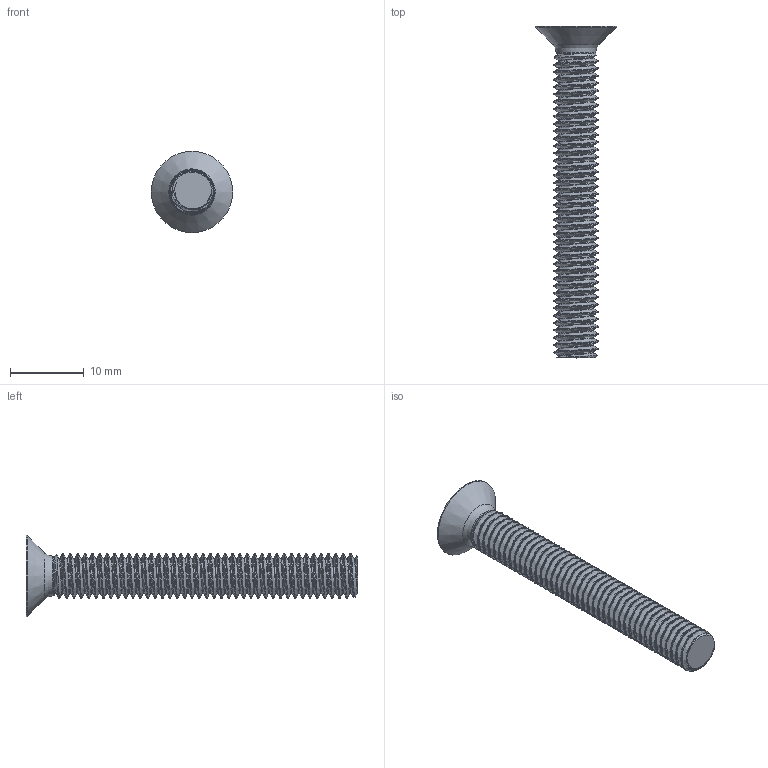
import cadquery as cq
import math


length = 45.0
head_diameter = 11.0
rim_height = 0.15
head_half_angle = 45.0
neck_radius = 2.7
neck_fillet_radius = 1.5
neck_end_depth = 3.75

major_diameter = 6.0
pitch = 1.0
flank_half_angle = 30.0
runout_length = 0.65
crest_fraction = 1 / 8
root_fraction = 1 / 8

tip_crest_direction = -90.0

flank_steps = 8

head_radius = head_diameter / 2
major_radius = major_diameter / 2
flank_width = pitch * (1 - crest_fraction - root_fraction) / 2
thread_depth = flank_width / math.tan(math.radians(flank_half_angle))
minor_radius = major_radius - thread_depth
neck_depth = rim_height + (head_radius - neck_radius) / math.tan(math.radians(head_half_angle))
runout_taper = math.degrees(math.atan((major_radius - neck_radius) / runout_length))
thread_length = length - neck_end_depth

tolerance = 1e-4


def make_head_and_neck():
    """Conical head blended into the plain neck above the thread."""
    outline = [
        (0, 0),
        (head_radius, 0),
        (head_radius, -rim_height),
        (neck_radius, -neck_depth),
        (neck_radius, -neck_end_depth),
        (0, -neck_end_depth),
    ]
    body = cq.Workplane("XZ").polyline(outline).close().revolve(360, (0, 0), (0, 1))
    corner_box = cq.selectors.BoxSelector(
        (-head_radius, -head_radius, -neck_depth - tolerance),
        (head_radius, head_radius, -neck_depth + tolerance),
    )
    return body.edges(corner_box).fillet(neck_fillet_radius)


def flank_point(fraction):
    """Point on one flank of the cross-section, from the crest (0) to the root (1)."""
    crest_end_angle = math.pi * crest_fraction
    root_start_angle = math.pi * (1 - root_fraction)
    angle = crest_end_angle + (root_start_angle - crest_end_angle) * fraction
    radius = major_radius - thread_depth * fraction
    return radius * math.cos(angle), radius * math.sin(angle)


def make_thread(height):
    """Right-handed thread rising from Z = 0, made by twisting its cam-shaped cross-section."""
    upper_flank = [flank_point(step / flank_steps) for step in range(flank_steps + 1)]
    lower_flank = [(x, -y) for x, y in reversed(upper_flank)]
    section = (
        cq.Workplane("XY")
        .moveTo(*upper_flank[0])
        .spline(upper_flank[1:], includeCurrent=True)
        .threePointArc((-minor_radius, 0), lower_flank[0])
        .spline(lower_flank[1:], includeCurrent=True)
        .threePointArc((major_radius, 0), upper_flank[0])
        .close()
    )
    thread = section.twistExtrude(height, 360 * height / pitch)
    return thread.rotate((0, 0, 0), (0, 0, 1), tip_crest_direction)


def make_runout():
    """One turn of thread whose crest tapers down to a flat end at Z = 0."""
    cone = cq.Workplane("XY").circle(neck_radius).extrude(pitch, taper=-runout_taper)
    return make_thread(pitch).intersect(cone)


def make_top():
    """Last turn of thread below the neck, joined to the head.

    It is the tip turn flipped over about X, which keeps the thread right-handed and turns
    a crest at the angle a to the angle -a.
    """
    flipped = make_runout().rotate((0, 0, 0), (1, 0, 0), 180)
    wanted_direction = tip_crest_direction + 360 * thread_length / pitch
    turned = flipped.rotate((0, 0, 0), (0, 0, 1), wanted_direction + tip_crest_direction)
    return turned.translate((0, 0, -neck_end_depth)).union(make_head_and_neck())


def make_tip():
    """First turn of thread, rising from the tip face."""
    return make_runout().translate((0, 0, -length))


def make_middle():
    """Whole turns of thread between the tip turn and the top turn, and the part turn left over."""
    middle_length = thread_length - 2 * pitch
    whole_turns = math.floor(middle_length / pitch)
    middle_start = -length + pitch
    whole_turn = make_thread(pitch)
    part_turn = make_thread(middle_length - whole_turns * pitch)
    turns = [whole_turn.translate((0, 0, middle_start + turn * pitch)) for turn in range(whole_turns)]
    return turns + [part_turn.translate((0, 0, middle_start + whole_turns * pitch))]


def is_joint(face):
    """True for a flat face where two stretches of thread meet."""
    box = face.BoundingBox()
    is_level = box.zmax - box.zmin < tolerance
    return is_level and -length + tolerance < box.zmin < -neck_end_depth - tolerance


def join_stretches(stretches):
    """One solid from stacked stretches, closed by their outer faces alone."""
    faces = [face for stretch in stretches for face in stretch.faces().vals() if not is_joint(face)]
    return cq.Workplane(cq.Solid.makeSolid(cq.Shell.makeShell(faces)))


screw = join_stretches([make_tip(), *make_middle(), make_top()])
result = screw.rotate((0, 0, 0), (1, 0, 0), -90)